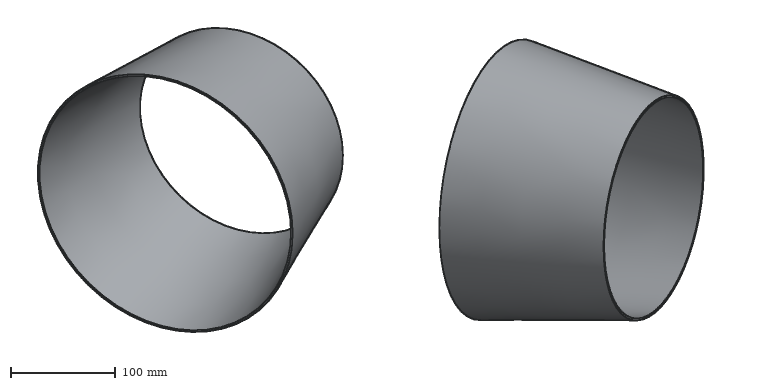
import cadquery as cq
import math

large_diameter = 273.0
small_diameter = 219.2
length = 162.0
wall_thickness = 2.0

large_radius = large_diameter / 2
small_radius = small_diameter / 2

slant_length = math.hypot(length, large_radius - small_radius)
rim_width = wall_thickness * slant_length / length

wall_section = (
    cq.Workplane("XY")
    .moveTo(large_radius, 0)
    .lineTo(small_radius, length)
    .lineTo(small_radius - rim_width, length)
    .lineTo(large_radius - rim_width, 0)
    .close()
)

result = wall_section.revolve(360, (0, 0, 0), (0, 1, 0))